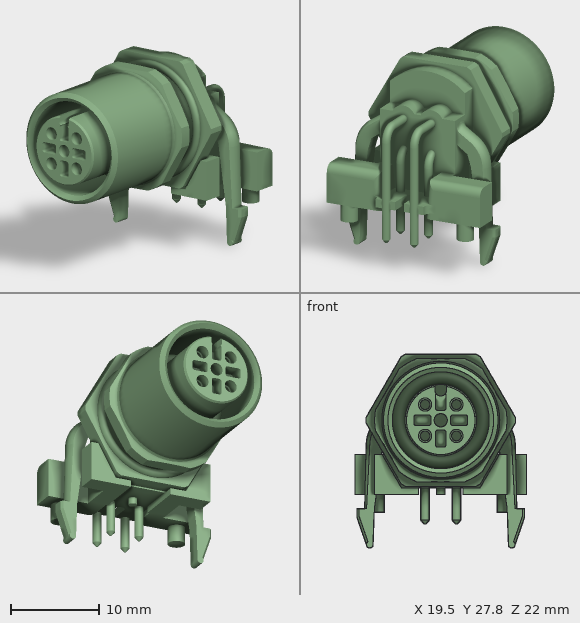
import cadquery as cq
import math


SLEEVE_FRONT = 1.03
SLEEVE_DIA = 13.0
SLEEVE_CHAMFER = 0.5
BORE_DIA = 11.0
BORE_FLOOR = 10.0
NECK_DIA = 12.0
NUT_FRONT = 12.05
NUT_BACK = 14.0
NUT_FLATS = 14.0
NUT_CORNER_DIA = 15.0
NUT_BEVEL = 0.25
COLLAR_DIA = 13.39
COLLAR_LENGTH = 0.25

FLANGE_FRONT = 16.5
FLANGE_THICKNESS = 2.0
FLANGE_BACK = FLANGE_FRONT + FLANGE_THICKNESS
FLANGE_FLATS = 15.0
FLANGE_CORNER_DIA = 17.0
SEAL_SECTION_DIA = 1.0
SEAL_CENTRE_RADIUS = (NECK_DIA + SEAL_SECTION_DIA) / 2

INSERT_DIA = 8.1
INSERT_BEVEL_LENGTH = 0.25
INSERT_BEVEL_DEPTH = 0.17
CONTACT_OFFSET = 1.78
CONTACT_HOLE_DIA = 1.1
CONTACT_MOUTH_DIA = 1.5
CONTACT_MOUTH_DEPTH = 1.5
CONTACT_HOLE_DEPTH = 3.9
POCKET_LENGTH = 1.92
POCKET_WIDTH = 1.22
POCKET_CENTRE = 2.08
POCKET_DEPTH = 2.0
POCKET_CORNER = 0.28
KEYWAY_WIDTH = 1.33
KEYWAY_FLOOR = 2.75

HOUSING_HALF_WIDTH = 4.78
HOUSING_BACK = 22.97
SHOULDER_BACK = FLANGE_BACK + 2.0
SHOULDER_DIA = 14.0
SHELF_TOP = 2.53
PIN_BOSS_DIA = 3.17
BOARD_LEVEL = -8.45
FOOT_TOP = -3.85
FOOT_GAP_HALF = 2.5
FRONT_FOOT_START = 16.97
FRONT_FOOT_END = 19.47
FRONT_FOOT_HALF_WIDTH = 7.5
FLANGE_CLEARANCE = 0.2
WING_FRONT = 23.5
WING_BACK = 26.5
WING_HALF_SPAN = 9.75
WING_INNER_TOP = 3.1
WING_INNER_BOTTOM = 2.72
WING_CORNER = 0.75
WING_ROUND = 1.0
TAB_BACK = 27.45
TAB_TOP = -6.66
TAB_BOTTOM = -7.66
TAB_HALF_WIDTH = 3.05
TAB_BLEND = 0.83
TAB_SLOT_WIDTH = 1.1
TAB_SLOT_END = 24.45
PEG_DIA = 1.0
PEG_Y = 21.65
POST_DIA = 2.0
POST_X = 7.4
POST_Y = WING_BACK - POST_DIA / 2
POST_BOTTOM = -10.45

PIN_DIA = 1.0
PIN_BEND_RADIUS = 1.5
TOTAL_LENGTH = 27.77
UPPER_PIN_Y = TOTAL_LENGTH - PIN_DIA / 2
LOWER_PIN_Y = 23.72
PIN_SHANK_END = -11.33
PIN_TIP_LENGTH = 0.45
PIN_TIP_DIA = 0.22

ARM_HALF_WIDTH = 1.0
ARM_MIDDLE = SHOULDER_BACK + ARM_HALF_WIDTH
ARM_SLOPE = 33.0
ARM_BEND_RADIUS = 3.55
ARM_ELBOW_X = 6.1
ARM_ELBOW_Z = -1.4
ARM_ROOT_BOTTOM = -0.28
ARM_ROOT_BLEND = 0.55
ARM_ROOT_OVERLAP = 0.28
KNEE_Z = -2.83
KNEE_CHORD = 8.05
KNEE_CROWN = 0.42
SHANK_TOP_INNER = 6.55
SHANK_END_CHORD = 8.41
SHANK_END_CROWN = 0.22
HOOK_HALF_WIDTH = 0.9
HOOK_INNER = 7.53
HOOK_OUTER = 9.53
HOOK_TOP = -10.02
HOOK_LIP = 0.95
HOOK_BEVEL = 0.28
HOOK_TIP_X = 8.05
HOOK_TIP_RADIUS = 0.4
TOTAL_HEIGHT = 22.0
HOOK_TIP_Z = FLANGE_FLATS / 2 - TOTAL_HEIGHT

SELECT_MARGIN = 0.03


def along_axis(start, end, dia):
    plane = cq.Workplane("XZ", origin=(0, start, 0))
    return plane.circle(dia / 2).extrude(start - end)


def box(x_range, y_range, z_range):
    sizes = [high - low for low, high in (x_range, y_range, z_range)]
    return cq.Workplane("XY").box(*sizes, centered=False).translate((x_range[0], y_range[0], z_range[0]))


def hex_prism(start, end, flats):
    plane = cq.Workplane("XZ", origin=(0, start, 0))
    return plane.polygon(6, flats / math.cos(math.pi / 6)).extrude(start - end)


def revolve_profile(points):
    """Turn a closed (radius, y) outline around the Y axis."""
    return cq.Workplane("XY").polyline(points).close().revolve(360, (0, 0, 0), (0, 1, 0))


def ring(centre_radius, section_dia, y):
    section = cq.Workplane("XY").center(centre_radius, y).circle(section_dia / 2)
    return section.revolve(360, (-centre_radius, -y, 0), (-centre_radius, 0.28 - y, 0))


def both_sides(shape):
    return shape.union(shape.mirror("YZ"))


def make_sleeve():
    radius = SLEEVE_DIA / 2
    rim_radius = radius - SLEEVE_CHAMFER
    sleeve = revolve_profile([
        (0, SLEEVE_FRONT),
        (rim_radius, SLEEVE_FRONT),
        (radius, SLEEVE_FRONT + SLEEVE_CHAMFER),
        (radius, NUT_FRONT - COLLAR_LENGTH),
        (COLLAR_DIA / 2, NUT_FRONT),
        (COLLAR_DIA / 2, NUT_BACK),
        (NECK_DIA / 2, NUT_BACK),
        (NECK_DIA / 2, FLANGE_BACK),
        (0, FLANGE_BACK),
    ])
    sleeve = sleeve.cut(along_axis(SLEEVE_FRONT, BORE_FLOOR, BORE_DIA))
    lead_in_end = SLEEVE_FRONT + rim_radius - BORE_DIA / 2
    lead_in = revolve_profile([
        (0, SLEEVE_FRONT),
        (rim_radius, SLEEVE_FRONT),
        (BORE_DIA / 2, lead_in_end),
        (0, lead_in_end),
    ])
    sleeve = sleeve.cut(lead_in)
    gland_section = (BORE_DIA - INSERT_DIA) / 2
    gland_radius = (BORE_DIA + INSERT_DIA) / 4
    return sleeve.union(ring(gland_radius, gland_section, BORE_FLOOR))


def make_nut():
    corner = NUT_CORNER_DIA / 2
    envelope = revolve_profile([
        (0, NUT_FRONT),
        (COLLAR_DIA / 2, NUT_FRONT),
        (corner, NUT_FRONT + NUT_BEVEL),
        (corner, NUT_BACK - NUT_BEVEL),
        (COLLAR_DIA / 2, NUT_BACK),
        (0, NUT_BACK),
    ])
    nut = hex_prism(NUT_FRONT, NUT_BACK, NUT_FLATS).intersect(envelope)
    return nut.cut(along_axis(NUT_FRONT, NUT_BACK, NECK_DIA))


def make_flange():
    flange = hex_prism(FLANGE_FRONT, FLANGE_BACK, FLANGE_FLATS)
    flange = flange.intersect(along_axis(FLANGE_FRONT, FLANGE_BACK, FLANGE_CORNER_DIA))
    return flange.union(ring(SEAL_CENTRE_RADIUS, SEAL_SECTION_DIA, FLANGE_FRONT))


def make_insert():
    radius = INSERT_DIA / 2
    insert = revolve_profile([
        (0, 0),
        (radius - INSERT_BEVEL_DEPTH, 0),
        (radius, INSERT_BEVEL_LENGTH),
        (radius, BORE_FLOOR),
        (0, BORE_FLOOR),
    ])
    for x in (-CONTACT_OFFSET, CONTACT_OFFSET):
        for z in (-CONTACT_OFFSET, CONTACT_OFFSET):
            hole = along_axis(0, CONTACT_HOLE_DEPTH, CONTACT_HOLE_DIA)
            mouth = along_axis(0, CONTACT_MOUTH_DEPTH, CONTACT_MOUTH_DIA)
            insert = insert.cut(hole.union(mouth).translate((x, 0, z)))
    insert = insert.cut(along_axis(0, CONTACT_HOLE_DEPTH, CONTACT_MOUTH_DIA))

    pocket = cq.Workplane("XZ").rect(POCKET_LENGTH, POCKET_WIDTH).extrude(-POCKET_DEPTH)
    pocket = pocket.edges("|Y").fillet(POCKET_CORNER).translate((POCKET_CENTRE, 0, 0))
    for angle in range(0, 360, 90):
        insert = insert.cut(pocket.rotate((0, 0, 0), (0, 1, 0), angle))

    half = KEYWAY_WIDTH / 2
    keyway = (
        cq.Workplane("XZ")
        .moveTo(-half, radius + half)
        .lineTo(-half, KEYWAY_FLOOR + half)
        .threePointArc((0, KEYWAY_FLOOR), (half, KEYWAY_FLOOR + half))
        .lineTo(half, radius + half)
        .close()
        .extrude(-BORE_FLOOR)
    )
    return insert.cut(keyway)


def make_housing():
    width = (-HOUSING_HALF_WIDTH, HOUSING_HALF_WIDTH)
    shoulder = along_axis(FLANGE_BACK, SHOULDER_BACK, SHOULDER_DIA)
    shoulder = shoulder.intersect(box(width, (FLANGE_BACK, SHOULDER_BACK), (TAB_BOTTOM, SHOULDER_DIA)))
    housing = shoulder.union(box(width, (FLANGE_BACK, SHOULDER_BACK), (TAB_BOTTOM, 0)))
    housing = housing.union(box(width, (SHOULDER_BACK, HOUSING_BACK), (TAB_BOTTOM, SHELF_TOP)))
    for x in (-CONTACT_OFFSET, CONTACT_OFFSET):
        boss = along_axis(SHOULDER_BACK, HOUSING_BACK, PIN_BOSS_DIA)
        housing = housing.union(boss.translate((x, 0, CONTACT_OFFSET)))
    return housing


def make_feet():
    """Feet and posts on the board, left open around the middle."""
    half = HOUSING_HALF_WIDTH
    foot_z = (BOARD_LEVEL, FOOT_TOP)
    front_foot = box((FOOT_GAP_HALF, FRONT_FOOT_HALF_WIDTH), (FRONT_FOOT_START, FRONT_FOOT_END), foot_z)
    front_foot = front_foot.cut(
        hex_prism(FRONT_FOOT_START, FLANGE_BACK, FLANGE_FLATS + 2 * FLANGE_CLEARANCE)
    )
    leg = box((FOOT_GAP_HALF, half), (FRONT_FOOT_END, HOUSING_BACK), foot_z)
    wing = (
        cq.Workplane("XZ", origin=(0, HOUSING_BACK, 0))
        .moveTo(WING_INNER_BOTTOM, BOARD_LEVEL)
        .lineTo(WING_HALF_SPAN, BOARD_LEVEL)
        .lineTo(WING_HALF_SPAN, FOOT_TOP)
        .lineTo(WING_INNER_TOP, FOOT_TOP)
        .close()
        .extrude(HOUSING_BACK - WING_BACK)
        .cut(box((half, WING_HALF_SPAN), (HOUSING_BACK, WING_FRONT), foot_z))
    )
    wing = wing.faces("<X").edges(">Y").fillet(WING_CORNER)
    rounded_bar = box((0, WING_HALF_SPAN), (HOUSING_BACK, WING_BACK), foot_z)
    wing = wing.intersect(rounded_bar.faces(">Y").edges(">Z").fillet(WING_ROUND))
    post = cq.Workplane("XY", origin=(POST_X, POST_Y, POST_BOTTOM)).circle(POST_DIA / 2)
    post = post.extrude(BOARD_LEVEL - POST_BOTTOM)
    return both_sides(front_foot.union(leg).union(wing).union(post))


def make_tab():
    """The slotted rear tab, its blends into the wings and the peg below the housing."""
    tab = box((-TAB_HALF_WIDTH, TAB_HALF_WIDTH), (SHOULDER_BACK, TAB_BACK), (TAB_BOTTOM, TAB_TOP))
    slot_half = TAB_SLOT_WIDTH / 2
    slot = box((-slot_half, slot_half), (TAB_SLOT_END + slot_half, TAB_BACK), (TAB_BOTTOM, TAB_TOP))
    slot_end = cq.Workplane("XY", origin=(0, TAB_SLOT_END + slot_half, TAB_BOTTOM)).circle(slot_half)
    slot = slot.union(slot_end.extrude(TAB_TOP - TAB_BOTTOM))
    tab = tab.cut(slot)

    blend = box(
        (TAB_HALF_WIDTH, TAB_HALF_WIDTH + TAB_BLEND),
        (WING_BACK, WING_BACK + TAB_BLEND),
        (TAB_BOTTOM, TAB_TOP),
    )
    hollow = cq.Workplane("XY", origin=(TAB_HALF_WIDTH + TAB_BLEND, WING_BACK + TAB_BLEND, TAB_BOTTOM))
    blend = blend.cut(hollow.circle(TAB_BLEND).extrude(TAB_TOP - TAB_BOTTOM))
    seat = box((TAB_HALF_WIDTH, HOUSING_HALF_WIDTH), (HOUSING_BACK, WING_BACK), (TAB_BOTTOM, TAB_TOP))

    peg = cq.Workplane("XY", origin=(0, PEG_Y, BOARD_LEVEL)).circle(PEG_DIA / 2)
    peg = peg.extrude(TAB_BOTTOM - BOARD_LEVEL)
    return tab.union(both_sides(blend.union(seat))).union(peg)


def make_pin(x, z, rear):
    """A contact tail that leaves the housing along +Y and bends down to the board."""
    start = SHOULDER_BACK
    bend_start = rear - PIN_BEND_RADIUS
    diagonal = PIN_BEND_RADIUS * math.sqrt(0.5)
    path = (
        cq.Workplane("YZ", origin=(x, 0, 0))
        .moveTo(start, z)
        .lineTo(bend_start, z)
        .threePointArc(
            (bend_start + diagonal, z - PIN_BEND_RADIUS + diagonal), (rear, z - PIN_BEND_RADIUS)
        )
        .lineTo(rear, PIN_SHANK_END)
    )
    pin = cq.Workplane("XZ", origin=(x, start, z)).circle(PIN_DIA / 2).sweep(path)
    tip = (
        cq.Workplane("XY", origin=(x, rear, PIN_SHANK_END))
        .circle(PIN_DIA / 2)
        .workplane(offset=-PIN_TIP_LENGTH)
        .circle(PIN_TIP_DIA / 2)
        .loft()
    )
    return pin.union(tip)


def rounded_back(workplane, chord, crest, half_width):
    """Draw the arm's rounded outer edge as a circular segment with its chord at x = chord."""
    return (
        workplane.moveTo(chord, ARM_MIDDLE - half_width)
        .threePointArc((crest, ARM_MIDDLE), (chord, ARM_MIDDLE + half_width))
    )


def shank_section(workplane, inner, chord, crest, half_width):
    outline = rounded_back(workplane, chord, crest, half_width)
    return outline.lineTo(inner, ARM_MIDDLE + half_width).lineTo(inner, ARM_MIDDLE - half_width).close()


def make_hook():
    tip_start_z = HOOK_TIP_Z + HOOK_TIP_RADIUS
    hook = (
        cq.Workplane("XZ", origin=(0, ARM_MIDDLE - HOOK_HALF_WIDTH, 0))
        .moveTo(HOOK_INNER, HOOK_TOP)
        .lineTo(HOOK_OUTER, HOOK_TOP)
        .lineTo(HOOK_OUTER, HOOK_TOP - HOOK_LIP)
        .lineTo(HOOK_TIP_X + HOOK_TIP_RADIUS, tip_start_z)
        .threePointArc((HOOK_TIP_X, HOOK_TIP_Z), (HOOK_TIP_X - HOOK_TIP_RADIUS, tip_start_z))
        .close()
        .extrude(-2 * HOOK_HALF_WIDTH)
    )
    outer_side = cq.selectors.BoxSelector(
        (HOOK_TIP_X, SHOULDER_BACK, tip_start_z),
        (HOOK_OUTER + SELECT_MARGIN, HOUSING_BACK, HOOK_TOP - HOOK_BEVEL),
    )
    return hook.edges(outer_side).edges("not |Y").chamfer(HOOK_BEVEL)


def make_arm():
    """The right-hand snap-in arm; the left one is its mirror image."""
    half_width = ARM_HALF_WIDTH
    front_plane = cq.Workplane("XZ", origin=(0, ARM_MIDDLE - half_width, 0))
    slope = math.radians(ARM_SLOPE)
    root_x = HOUSING_HALF_WIDTH - ARM_ROOT_OVERLAP
    bend_centre_x = KNEE_CHORD - ARM_BEND_RADIUS
    bend_start = (
        bend_centre_x + ARM_BEND_RADIUS * math.sin(slope),
        KNEE_Z + ARM_BEND_RADIUS * math.cos(slope),
    )
    half_turn = (math.pi / 2 - slope) / 2
    bend_middle = (
        bend_centre_x + ARM_BEND_RADIUS * math.cos(half_turn),
        KNEE_Z + ARM_BEND_RADIUS * math.sin(half_turn),
    )
    root = (root_x, bend_start[1] + (bend_start[0] - root_x) * math.tan(slope))
    knee = (KNEE_CHORD, KNEE_Z)

    web = (
        front_plane.moveTo(*root)
        .lineTo(*bend_start)
        .threePointArc(bend_middle, knee)
        .lineTo(SHANK_TOP_INNER, KNEE_Z)
        .lineTo(ARM_ELBOW_X, ARM_ELBOW_Z)
        .lineTo(root_x, ARM_ROOT_BOTTOM)
        .close()
        .extrude(-2 * half_width)
    )
    back_path = cq.Workplane("XZ").moveTo(*knee).threePointArc(bend_middle, bend_start).lineTo(*root)
    knee_plane = cq.Workplane("XY", origin=(0, 0, KNEE_Z))
    back = rounded_back(knee_plane, KNEE_CHORD, KNEE_CHORD + KNEE_CROWN, half_width)
    back = back.close().sweep(back_path)

    shank = shank_section(knee_plane, SHANK_TOP_INNER, KNEE_CHORD, KNEE_CHORD + KNEE_CROWN, half_width)
    shank = shank_section(
        shank.workplane(offset=HOOK_TOP - KNEE_Z),
        HOOK_INNER, SHANK_END_CHORD, SHANK_END_CHORD + SHANK_END_CROWN, HOOK_HALF_WIDTH,
    ).loft()
    return web.union(back).union(shank).union(make_hook())


result = make_sleeve()
for section in (make_nut(), make_flange(), make_insert(), make_housing(), make_feet(), make_tab()):
    result = result.union(section)
for pin_x in (-CONTACT_OFFSET, CONTACT_OFFSET):
    result = result.union(make_pin(pin_x, CONTACT_OFFSET, UPPER_PIN_Y))
    result = result.union(make_pin(pin_x, -CONTACT_OFFSET, LOWER_PIN_Y))
result = result.union(both_sides(make_arm()))

for side in (-HOUSING_HALF_WIDTH, HOUSING_HALF_WIDTH):
    root_zone = cq.selectors.BoxSelector(
        (side - SELECT_MARGIN, SHOULDER_BACK, 0), (side + SELECT_MARGIN, HOUSING_BACK, SHELF_TOP)
    )
    result = result.edges(root_zone).edges("%ELLIPSE").fillet(ARM_ROOT_BLEND)